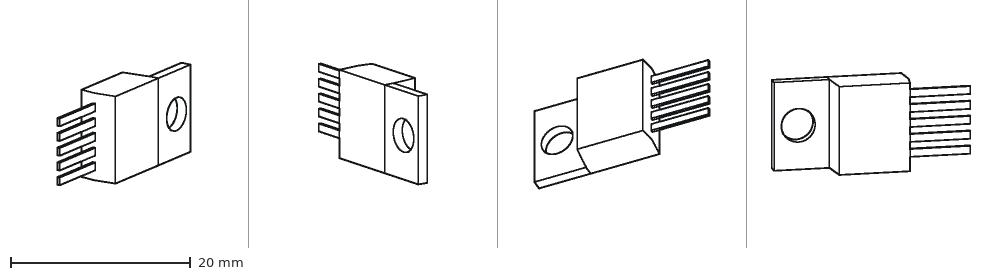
import cadquery as cq

TOTAL_LENGTH = 21.98
THICKNESS = 4.57
HEIGHT = 10.15

TAB_LENGTH = 6.3
TAB_THICKNESS = 1.25
HOLE_DIAMETER = 3.82
HOLE_FROM_TAB_END = 2.77

LEAD_COUNT = 5
LEAD_LENGTH = 7.0
LEAD_THICKNESS = 0.33
LEAD_WIDTH = 0.9
LEAD_PITCH = 1.71
LEAD_FROM_FRONT = 1.71

TAB_END_SETBACK = 0.42
LEAD_END_FRONT_SETBACK = 0.22
LEAD_END_BACK_SETBACK = 0.26

FRONT_X = -THICKNESS / 2
BACK_X = THICKNESS / 2
TAB_FRONT_X = BACK_X - TAB_THICKNESS
LEAD_FRONT_X = FRONT_X + LEAD_FROM_FRONT
LEAD_BACK_X = LEAD_FRONT_X + LEAD_THICKNESS
BOTTOM_Z = -HEIGHT / 2
LEAD_TIP_Y = -TOTAL_LENGTH / 2
TAB_END_Y = TOTAL_LENGTH / 2
HOUSING_LEAD_Y = LEAD_TIP_Y + LEAD_LENGTH
HOUSING_TAB_Y = TAB_END_Y - TAB_LENGTH


def make_housing():
    """Moulded block with sloped ends and flat strips where the leads and tab meet it."""
    outline = [
        (FRONT_X, HOUSING_LEAD_Y + LEAD_END_FRONT_SETBACK),
        (LEAD_FRONT_X, HOUSING_LEAD_Y),
        (LEAD_BACK_X, HOUSING_LEAD_Y),
        (BACK_X, HOUSING_LEAD_Y + LEAD_END_BACK_SETBACK),
        (BACK_X, HOUSING_TAB_Y),
        (TAB_FRONT_X, HOUSING_TAB_Y),
        (FRONT_X, HOUSING_TAB_Y - TAB_END_SETBACK),
    ]
    return cq.Workplane("XY").workplane(offset=BOTTOM_Z).polyline(outline).close().extrude(HEIGHT)


def make_tab():
    """Flat mounting plate with one through hole along X."""
    plate = cq.Workplane("XY").box(TAB_THICKNESS, TAB_LENGTH, HEIGHT, centered=False)
    plate = plate.translate((TAB_FRONT_X, HOUSING_TAB_Y, BOTTOM_Z))
    hole = (
        cq.Workplane("YZ")
        .workplane(offset=TAB_FRONT_X)
        .center(TAB_END_Y - HOLE_FROM_TAB_END, 0)
        .circle(HOLE_DIAMETER / 2)
        .extrude(TAB_THICKNESS)
    )
    return plate.cut(hole)


def make_lead(center_z):
    """Straight rectangular lead that butts against the housing."""
    lead = cq.Workplane("XY").box(
        LEAD_THICKNESS, LEAD_LENGTH, LEAD_WIDTH, centered=(False, False, True)
    )
    return lead.translate((LEAD_FRONT_X, LEAD_TIP_Y, center_z))


housing = make_housing()
tab = make_tab()
leads = []
for index in range(LEAD_COUNT):
    lead_z = (index - (LEAD_COUNT - 1) / 2) * LEAD_PITCH
    leads.append(make_lead(lead_z))

result = cq.Compound.makeCompound([housing.val(), tab.val(), *[lead.val() for lead in leads]])